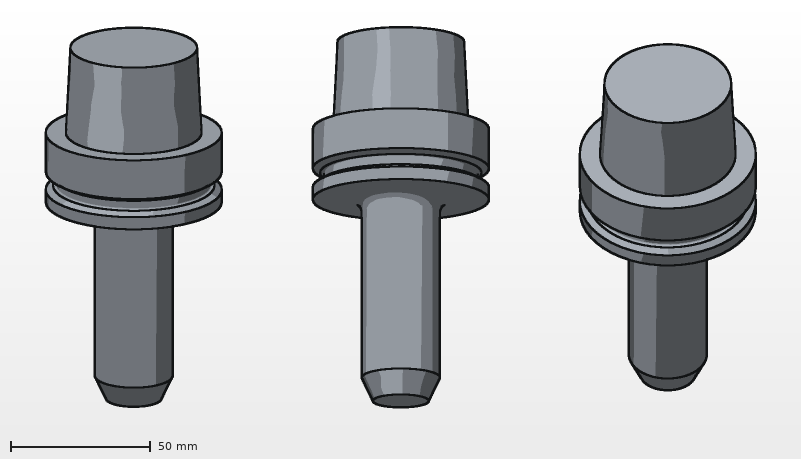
import cadquery as cq
import math


SHANK_LENGTH = 32.0
SHANK_BASE_DIAMETER = 48.6
SHANK_TOP_DIAMETER = 45.4

FLANGE_DIAMETER = 63.0
FLANGE_THICKNESS = 26.0
GROOVE_FLOOR_DIAMETER = 55.0
GROOVE_CENTER_DEPTH = 18.0
GROOVE_MOUTH_WIDTH = 6.8
GROOVE_LEDGE_SPACING = 3.75
GROOVE_WALL_ANGLE = 30.0
GROOVE_CORNER_RADIUS = 0.5

NOSE_DIAMETER = 28.0
NOSE_LENGTH = 74.0
NOSE_ROOT_RADIUS = 5.0
TIP_DIAMETER = 20.0
TIP_HALF_ANGLE = 25.0


def make_shank():
    """Solid taper shank, narrowing upward from the flange face."""
    return (
        cq.Workplane("XZ")
        .lineTo(SHANK_BASE_DIAMETER / 2, 0)
        .lineTo(SHANK_TOP_DIAMETER / 2, SHANK_LENGTH)
        .lineTo(0, SHANK_LENGTH)
        .close()
        .revolve(360, (0, 0, 0), (0, 1, 0))
    )


def make_groove():
    """Ring that cuts the groove: sloping walls, flat ledges and a floor with rounded corners."""
    rim_radius = FLANGE_DIAMETER / 2
    floor_radius = GROOVE_FLOOR_DIAMETER / 2
    mouth_half = GROOVE_MOUTH_WIDTH / 2
    ledge_half = GROOVE_LEDGE_SPACING / 2
    floor_half = ledge_half - GROOVE_CORNER_RADIUS
    corner_end_radius = floor_radius + GROOVE_CORNER_RADIUS
    wall_run = (mouth_half - ledge_half) / math.tan(math.radians(GROOVE_WALL_ANGLE))
    ledge_radius = rim_radius - wall_run
    return (
        cq.Workplane("XZ", origin=(0, 0, -GROOVE_CENTER_DEPTH))
        .moveTo(rim_radius, mouth_half)
        .lineTo(ledge_radius, ledge_half)
        .lineTo(corner_end_radius, ledge_half)
        .radiusArc((floor_radius, floor_half), -GROOVE_CORNER_RADIUS)
        .lineTo(floor_radius, -floor_half)
        .radiusArc((corner_end_radius, -ledge_half), -GROOVE_CORNER_RADIUS)
        .lineTo(ledge_radius, -ledge_half)
        .lineTo(rim_radius, -mouth_half)
        .close()
        .revolve(360, (0, 0, 0), (0, 1, 0))
    )


def make_flange():
    """Flange disc with the gripper groove around its rim."""
    disc = cq.Workplane("XY").circle(FLANGE_DIAMETER / 2).extrude(-FLANGE_THICKNESS)
    return disc.cut(make_groove())


def make_nose():
    """Round nose with a concave root fillet and a conical tip."""
    nose_radius = NOSE_DIAMETER / 2
    tip_radius = TIP_DIAMETER / 2
    tip_length = (nose_radius - tip_radius) / math.tan(math.radians(TIP_HALF_ANGLE))
    return (
        cq.Workplane("XZ", origin=(0, 0, -FLANGE_THICKNESS))
        .lineTo(-nose_radius - NOSE_ROOT_RADIUS, 0)
        .radiusArc((-nose_radius, -NOSE_ROOT_RADIUS), NOSE_ROOT_RADIUS)
        .lineTo(-nose_radius, tip_length - NOSE_LENGTH)
        .lineTo(-tip_radius, -NOSE_LENGTH)
        .lineTo(0, -NOSE_LENGTH)
        .close()
        .revolve(360, (0, 0, 0), (0, 1, 0))
    )


result = make_flange().union(make_shank()).union(make_nose())